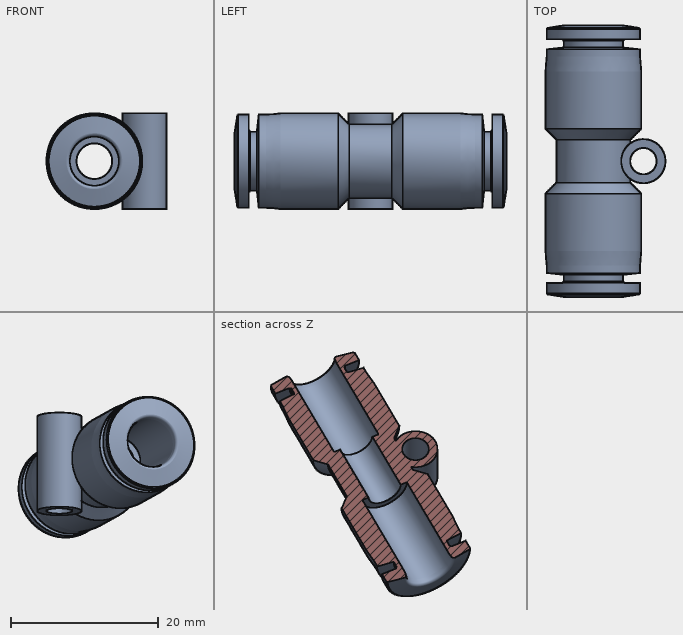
import cadquery as cq
import math

length = 36.8
half_length = length / 2

body_diameter = 13.0
body_radius = body_diameter / 2
rim_radius = 6.33
neck_radius = 4.0
waist_radius = 5.0

collar_thickness = 1.95
face_dish = 0.35
edge_break = 0.2
neck_bevel = 0.2

body_start = 3.0
body_face_drop = 0.25
rim_end = 4.27
taper_end = 6.25
shoulder_start = 14.02
shoulder_end = shoulder_start + body_radius - waist_radius

mouth_round = 0.4
entry_radius = 3.4
mouth_radius = entry_radius + mouth_round
socket_radius = 3.3
passage_radius = 2.4
entry_depth = 0.92
socket_depth = 14.0

eyelet_diameter = 6.0
eyelet_radius = eyelet_diameter / 2
eyelet_hole_radius = 1.75
eyelet_offset = 6.77
eyelet_height = body_diameter


def make_union_body():
    """Revolve the profile of the whole union about the Y axis."""
    outer_half = [
        (mouth_radius, 0),
        (rim_radius - edge_break, face_dish),
        (rim_radius, face_dish + edge_break),
        (rim_radius, collar_thickness),
        (neck_radius + neck_bevel, collar_thickness),
        (neck_radius, collar_thickness + neck_bevel),
        (neck_radius, body_start),
        (rim_radius, body_start + body_face_drop),
        (rim_radius, rim_end),
        (body_radius, taper_end),
        (body_radius, shoulder_start),
        (waist_radius, shoulder_end),
    ]
    inner_half = [
        (entry_radius, mouth_round),
        (socket_radius, entry_depth),
        (socket_radius, socket_depth),
        (passage_radius, socket_depth),
    ]
    near_outer = [(radius, distance - half_length) for radius, distance in outer_half]
    far_outer = [(radius, -y) for radius, y in reversed(near_outer)]
    near_inner = [(radius, distance - half_length) for radius, distance in inner_half]
    far_inner = [(radius, -y) for radius, y in near_inner]

    arc_radius = mouth_radius - mouth_round * math.sin(math.pi / 4)
    arc_y = half_length - mouth_round * (1 - math.cos(math.pi / 4))
    profile = (
        cq.Workplane("XY")
        .polyline(near_outer + far_outer)
        .threePointArc((arc_radius, arc_y), far_inner[0])
        .polyline(far_inner[1:] + near_inner[::-1], includeCurrent=True)
        .threePointArc((arc_radius, -arc_y), near_outer[0])
        .close()
    )
    return profile.revolve(360, (0, 0, 0), (0, 1, 0))


def eyelet_cylinder(radius):
    """Upright cylinder on the eyelet axis, centred on the XY plane."""
    return cq.Workplane("XY").cylinder(eyelet_height, radius).translate((eyelet_offset, 0, 0))


result = make_union_body().union(eyelet_cylinder(eyelet_radius)).cut(eyelet_cylinder(eyelet_hole_radius))